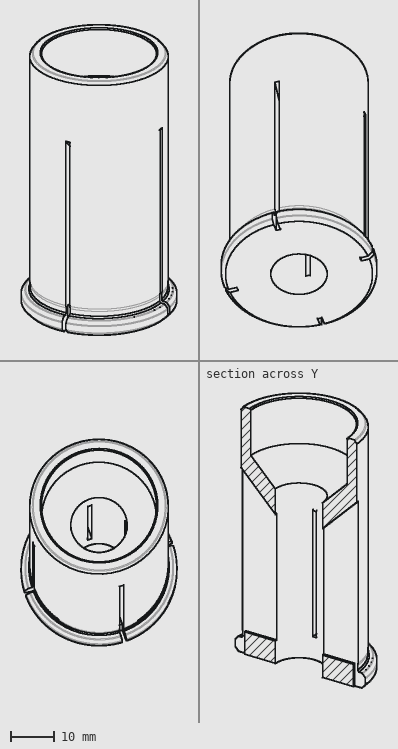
import cadquery as cq
import math

length = 64.0
body_radius = 16.0
bore_radius = 13.0 / 2

rim_chamfer_width = 0.65
rim_chamfer_height = 0.9

pocket_radius = 26.5 / 2
pocket_floor_z = 52.0
pocket_chamfer = 0.3

flange_radius = 18.0
flange_height = 3.9
flange_bottom_chamfer = 1.0
flange_top_chamfer_width = 0.9
flange_top_chamfer_height = 1.0

corner_radius = 0.3

groove_radius = 15.9
groove_foot_radius = 16.2
groove_bottom_z = 4.35
groove_top_z = 5.6
groove_end_z = 6.3

slot_count = 4
slot_width = 1.0
slot_bottom_z = 5.9
slot_top_z = 48.0
slot_floor_radius = 15.0
slot_reach = 19.2

tolerance = 0.0005


def sleeve():
    """Revolve the solid wall of the sleeve about Z and round its outer corners."""
    funnel_bottom_z = pocket_floor_z - (pocket_radius - bore_radius)
    flange_corners = [
        (flange_radius - flange_bottom_chamfer, 0),
        (flange_radius, flange_bottom_chamfer),
        (flange_radius, flange_height - flange_top_chamfer_height),
        (flange_radius - flange_top_chamfer_width, flange_height),
    ]
    rim_corner = (body_radius - rim_chamfer_width, length)
    profile = [
        (bore_radius, 0),
        *flange_corners,
        (groove_foot_radius, flange_height),
        (groove_radius, groove_bottom_z),
        (groove_radius, groove_top_z),
        (body_radius, groove_end_z),
        (body_radius, length - rim_chamfer_height),
        rim_corner,
        (pocket_radius + pocket_chamfer, length),
        (pocket_radius, length - pocket_chamfer),
        (pocket_radius, pocket_floor_z),
        (bore_radius, funnel_bottom_z),
    ]
    wall = cq.Workplane("XZ").polyline(profile).close().revolve(360, (0, 0), (0, 1))

    rounded_edges = wall.edges("%CIRCLE").filter(
        lambda edge: any(
            math.isclose(edge.radius(), radius, abs_tol=tolerance)
            and math.isclose(edge.Center().z, height, abs_tol=tolerance)
            for radius, height in [*flange_corners[1:], rim_corner]
        )
    )
    return rounded_edges.fillet(corner_radius)


def slot_cutter():
    """Radial slot along +X whose upper end rises outward at 45 degrees."""
    inner_top_z = slot_top_z - body_radius
    outer_top_z = inner_top_z + slot_reach
    outline = [
        (0, slot_bottom_z),
        (slot_floor_radius, slot_bottom_z),
        (slot_floor_radius, 0),
        (slot_reach, 0),
        (slot_reach, outer_top_z),
        (0, inner_top_z),
    ]
    return cq.Workplane("XZ").polyline(outline).close().extrude(slot_width / 2, both=True)


result = sleeve()
for index in range(slot_count):
    angle = index * 360 / slot_count
    result = result.cut(slot_cutter().rotate((0, 0, 0), (0, 0, 1), angle))